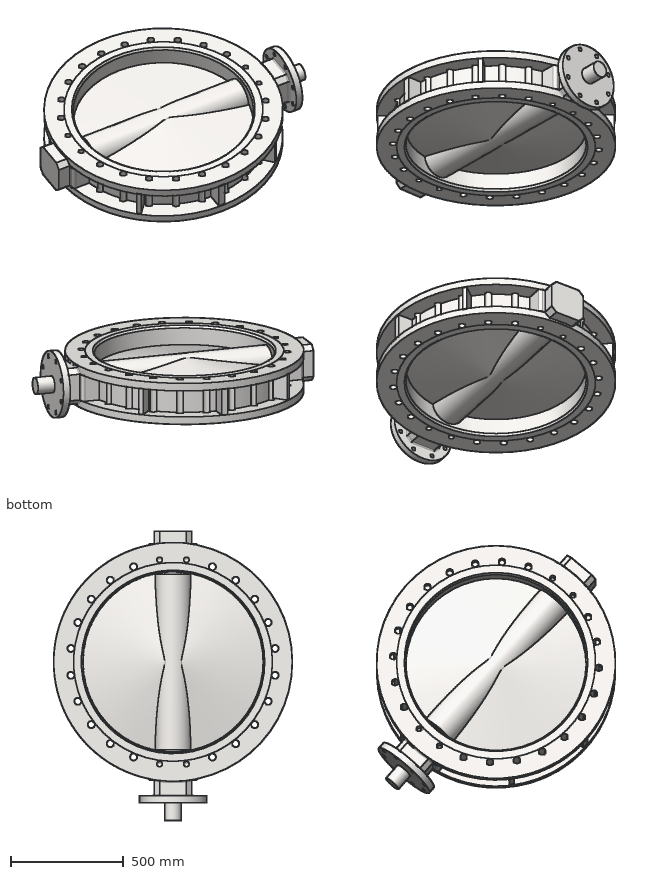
import cadquery as cq
import math


flange_radius = 530
face_to_face = 190
gap_height = 120
barrel_radius = 455
liner_radius = 441

bore_radius = 400
liner_chamfer_width = 7
liner_chamfer_height = 11
disc_cone_angle = 10
disc_edge_half_thickness = 7
hub_radius = 80
hub_end = 390

bolt_count = 24
bolt_circle_radius = 457
bolt_hole_diameter = 30
blind_hole_diameter = 24
blind_hole_depth = 45
drill_point_angle = 118

rib_reach = 525
side_rib_thickness = 30
diagonal_rib_thickness = 20
diagonal_rib_angle = 41.5

trunnion_width = 167
trunnion_corner = 24
trunnion_base_width = 222
trunnion_base_round = 14
lower_trunnion_end = 580
neck_fillet = 5
rim_fillet = 5

mount_radius = 150
mount_thickness = 32
mount_end = 625
mount_bolt_count = 8
mount_bolt_circle_radius = 127
mount_hole_diameter = 18

stem_diameter = 75
stem_top = 704
stem_depth_in_disc = 150
lower_stem_end = 540

mount_start = mount_end - mount_thickness
bolt_pitch = 360 / bolt_count
drum_wall_middle = (barrel_radius + liner_radius) / 2


def cylinder_along_y(radius, y_start, y_end):
    """Cylinder on the stem axis between two Y positions."""
    plane = cq.Workplane("XZ", origin=(0, y_start, 0))
    return plane.circle(radius).extrude(y_start - y_end)


def cylinder_along_z(radius):
    """Cylinder on the flow axis over the full face-to-face height."""
    return cq.Workplane("XY").circle(radius).extrude(face_to_face / 2, both=True)


def octagon_along_y(y_start, y_end):
    """Square trunnion bar with cut corners between two Y positions."""
    length = abs(y_end - y_start)
    bar = cq.Workplane("XY").box(trunnion_width, length, trunnion_width)
    bar = bar.edges("|Y").chamfer(trunnion_corner)
    return bar.translate((0, (y_start + y_end) / 2, 0))


def make_drum():
    """Two flanges joined by a recessed barrel, as one solid of revolution."""
    half_gap = gap_height / 2
    half_height = face_to_face / 2
    outline = [
        (0, -half_height),
        (flange_radius, -half_height),
        (flange_radius, -half_gap),
        (barrel_radius, -half_gap),
        (barrel_radius, half_gap),
        (flange_radius, half_gap),
        (flange_radius, half_height),
        (0, half_height),
    ]
    return cq.Workplane("XZ").polyline(outline).close().revolve(360, (0, 0), (0, 1))


def make_rib(thickness, angle):
    """Radial web from the drum wall out to the rib reach."""
    length = rib_reach - drum_wall_middle
    rib = cq.Workplane("XY").box(length, thickness, gap_height)
    rib = rib.translate((drum_wall_middle + length / 2, 0, 0))
    return rib.rotate((0, 0, 0), (0, 0, 1), angle)


def make_trunnion_bases():
    """Wide blocks between the flanges behind both trunnions."""
    base = cq.Workplane("XY").box(trunnion_base_width, 2 * rib_reach, gap_height)
    return base.edges("|Z").fillet(trunnion_base_round)


def make_neck():
    """Upper trunnion carrying the mounting flange, with a fillet where they meet."""
    mount = cylinder_along_y(mount_radius, mount_start, mount_end)
    neck = octagon_along_y(drum_wall_middle, mount_start).union(mount)
    root_zone = cq.selectors.BoxSelector(
        (-trunnion_width, mount_start - 1, -trunnion_width),
        (trunnion_width, mount_start + 1, trunnion_width),
    )
    return neck.edges(root_zone).edges("%LINE").fillet(neck_fillet)


def fillet_neck_at_rim(body):
    """Small fillets where the upper trunnion leaves the flange rims."""
    half_width = trunnion_width / 2
    half_gap = gap_height / 2
    rim_corner = math.sqrt(flange_radius**2 - half_width**2)
    for z_start, z_end in ((half_gap + 1, half_width + 1), (-half_width - 1, -half_gap - 1)):
        rim_zone = cq.selectors.BoxSelector(
            (-half_width, rim_corner, z_start), (half_width, flange_radius + 1, z_end)
        )
        body = body.edges(rim_zone).fillet(rim_fillet)
    return body


def cut_mount_holes(body):
    """Bolt holes of the mounting flange, straddling the vertical plane."""
    pitch = 360 / mount_bolt_count
    holes = (
        cq.Workplane("XZ", origin=(0, mount_end, 0))
        .polarArray(mount_bolt_circle_radius, pitch / 2, 360, mount_bolt_count)
        .circle(mount_hole_diameter / 2)
        .extrude(mount_thickness)
    )
    return body.cut(holes)


def make_blind_hole():
    """Drilled hole with a conical end, entering from the upper flange face."""
    radius = blind_hole_diameter / 2
    tip = radius / math.tan(math.radians(drill_point_angle / 2))
    outline = [
        (0, 0),
        (radius, 0),
        (radius, -blind_hole_depth),
        (0, -blind_hole_depth - tip),
    ]
    hole = cq.Workplane("XZ").polyline(outline).close().revolve(360, (0, 0), (0, 1))
    return hole.translate((0, 0, face_to_face / 2))


def cut_bolt_holes(body):
    """Through holes round the flanges, and blind ones from both faces at the trunnions."""
    through_hole = cylinder_along_z(bolt_hole_diameter / 2)
    upper_blind = make_blind_hole()
    lower_blind = upper_blind.mirror("XY")
    for index in range(bolt_count):
        angle = math.radians((index + 0.5) * bolt_pitch)
        x = bolt_circle_radius * math.cos(angle)
        y = bolt_circle_radius * math.sin(angle)
        if abs(x) < trunnion_width / 2:
            cutters = [upper_blind, lower_blind]
        else:
            cutters = [through_hole]
        for cutter in cutters:
            body = body.cut(cutter.translate((x, y, 0)))
    return body


def make_housing():
    """Drum, ribs, trunnions and mounting flange as one casting."""
    body = make_drum().union(make_trunnion_bases())
    for side in (0, 180):
        body = body.union(make_rib(side_rib_thickness, side))
        for angle in (diagonal_rib_angle, -diagonal_rib_angle):
            body = body.union(make_rib(diagonal_rib_thickness, side + angle))
    body = body.union(octagon_along_y(-drum_wall_middle, -lower_trunnion_end))
    body = body.union(make_neck())
    body = fillet_neck_at_rim(body)
    body = cut_mount_holes(body)
    body = cut_bolt_holes(body)
    return body.cut(cylinder_along_z(liner_radius))


def make_liner():
    """Seat ring with a lead-in chamfer at both ends of its bore."""
    half_height = face_to_face / 2
    straight_end = half_height - liner_chamfer_height
    mouth_radius = bore_radius + liner_chamfer_width
    outline = [
        (liner_radius, -half_height),
        (liner_radius, half_height),
        (mouth_radius, half_height),
        (bore_radius, straight_end),
        (bore_radius, -straight_end),
        (mouth_radius, -half_height),
    ]
    return cq.Workplane("XZ").polyline(outline).close().revolve(360, (0, 0), (0, 1))


def make_disc():
    """Shallow double cone crossed by a round hub along the stem axis."""
    rise = bore_radius * math.tan(math.radians(disc_cone_angle))
    apex = disc_edge_half_thickness + rise
    outline = [
        (0, -apex),
        (bore_radius, -disc_edge_half_thickness),
        (bore_radius, disc_edge_half_thickness),
        (0, apex),
    ]
    cones = cq.Workplane("XZ").polyline(outline).close().revolve(360, (0, 0), (0, 1))
    return cones.union(cylinder_along_y(hub_radius, -hub_end, hub_end))


stem_start = hub_end - stem_depth_in_disc
upper_stem = cylinder_along_y(stem_diameter / 2, stem_start, stem_top)
lower_stem = cylinder_along_y(stem_diameter / 2, -lower_stem_end, -stem_start)

housing = make_housing().cut(upper_stem).cut(lower_stem)
liner = make_liner().cut(upper_stem).cut(lower_stem)
disc = make_disc().cut(upper_stem).cut(lower_stem)

result = cq.Compound.makeCompound(
    [housing.val(), liner.val(), disc.val(), upper_stem.val(), lower_stem.val()]
)